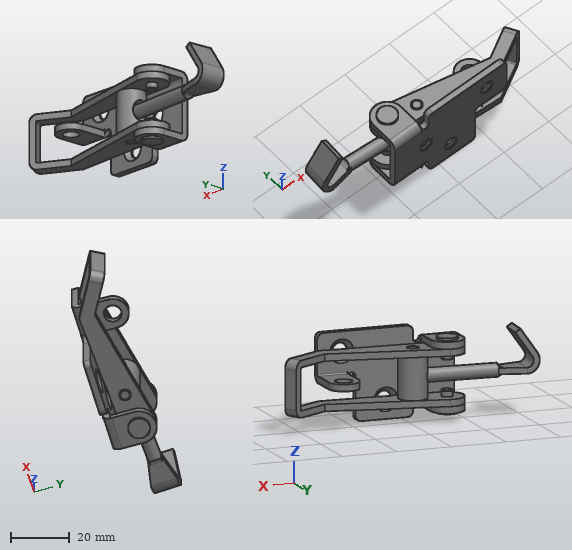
import cadquery as cq
import math


SHEET = 2.5
BEND_RADIUS = 3.0
EXCESS = 9.2

PLATE_HEIGHT = 32.0
PLATE_RIGHT = 44.0
LOWER_RIGHT = 30.0
SHOULDER_X = 9.1
PLATE_CORNER = 2.0
EAR_SPAN = 25.0
EAR_RADIUS = 6.0
PIVOT_Y = 11.0
RELIEF_DEPTH = 0.5
TAB_RADIUS = 5.5
TAB_EYE_Y = 13.0
TAB_HOLE = 6.0
SCREW_HOLE = 5.3
SCREW_SINK = 8.4
SCREW_LAND = 0.6
SCREW_X = 19.0
FAR_SCREW_X = 35.2
SCREW_Z = 9.1
ACCESS_X = 8.1
TAB_X = PLATE_RIGHT - TAB_RADIUS
TAB_OUTER_Z = -SHEET / 2
EAR_OUTER_Z = -EAR_SPAN / 2
EAR_BEND_Z = EAR_SPAN / 2 - BEND_RADIUS
TAB_BEND_Z = TAB_OUTER_Z + BEND_RADIUS

LEVER_SPAN = EAR_SPAN - 2 * SHEET
LEVER_END_RADIUS = EAR_RADIUS
TOP_KINK = (43.7, 8.15)
BOTTOM_KINK = (43.8, 2.7)
GRIP_ANGLE = 29.3
GRIP_CORNER = (59.3, 11.3)

RIVET_HEAD = 7.5
RIVET_HEAD_HEIGHT = 0.8
RIVET_SHANK = 4.0
RIVET_STUB = 2.3
PIN_CHAMFER = 0.4

BARREL_X = 11.9
BARREL_Y = 9.5
BARREL_RADIUS = 5.1
JOURNAL = 4.0
SOCKET_MOUTH_RADIUS = 3.75

HOOK_TILT = 3.2
HOOK_WIDTH = 9.4
HOOK_THICKNESS = 2.2
HOOK_BEND_RADIUS = 4.6
HOOK_BEND_REACH = 39.4
HOOK_LEG_LENGTH = 10.7
HOOK_LEG_ANGLE = 55.0
ROD_RADIUS = 2.5
ROD_REACH = 31.7
STRIP_END_REACH = 29.9
ROD_BLEND_RADIUS = 1.7


def z_cylinder(x, y, diameter, z_start, height):
    """A cylinder along Z."""
    return cq.Workplane("XY", origin=(x, y, z_start)).circle(diameter / 2).extrude(height)


def flange(eye_x, eye_y, eye_radius, outer_z):
    """A wall bent up from the plate, with its outer face on outer_z and a round end."""
    wall_top = eye_y + eye_radius
    bend_z = outer_z + BEND_RADIUS
    centre = (BEND_RADIUS, bend_z)
    diagonal = math.sqrt(0.5)
    inner_radius = BEND_RADIUS - SHEET
    section = (
        cq.Workplane("YZ", origin=(eye_x - eye_radius, 0, 0))
        .moveTo(0, bend_z)
        .threePointArc(
            (centre[0] - BEND_RADIUS * diagonal, centre[1] - BEND_RADIUS * diagonal),
            (BEND_RADIUS, outer_z),
        )
        .lineTo(wall_top, outer_z)
        .lineTo(wall_top, outer_z + SHEET)
        .lineTo(BEND_RADIUS, outer_z + SHEET)
        .threePointArc(
            (centre[0] - inner_radius * diagonal, centre[1] - inner_radius * diagonal),
            (SHEET, bend_z),
        )
        .close()
        .extrude(2 * eye_radius)
    )
    silhouette = (
        cq.Workplane("XY", origin=(0, 0, outer_z))
        .moveTo(eye_x - eye_radius, 0)
        .lineTo(eye_x + eye_radius, 0)
        .lineTo(eye_x + eye_radius, eye_y)
        .threePointArc((eye_x, wall_top), (eye_x - eye_radius, eye_y))
        .close()
        .extrude(BEND_RADIUS)
    )
    return section.intersect(silhouette)


def bend_relief(left, right, bottom_z, side):
    """A slot cut at the end of a bend, with a round bottom at bottom_z; side is the way it opens in Z."""
    radius = (right - left) / 2
    centre_z = bottom_z + side * radius
    mouth_z = centre_z + side * PLATE_HEIGHT
    return (
        cq.Workplane("XZ")
        .moveTo(left, mouth_z)
        .lineTo(left, centre_z)
        .threePointArc((left + radius, bottom_z), (right, centre_z))
        .lineTo(right, mouth_z)
        .close()
        .extrude(-SHEET)
    )


def screw_hole(x, z):
    """A plate hole with a countersink on the inner face."""
    hole_radius = SCREW_HOLE / 2
    profile = [
        (0, 0),
        (hole_radius, 0),
        (hole_radius, SCREW_LAND),
        (SCREW_SINK / 2, SHEET),
        (0, SHEET),
    ]
    hole = cq.Workplane("XY").polyline(profile).close().revolve(360, (0, 0), (0, 1))
    return hole.translate((x, 0, z))


def make_plate():
    """The flat plate with rounded corners, bend reliefs and screw holes."""
    half = PLATE_HEIGHT / 2
    ear_relief_z = EAR_BEND_Z + RELIEF_DEPTH
    ear_relief_side_z = ear_relief_z + (SHOULDER_X - EAR_RADIUS) / 2
    tab_left = TAB_X - TAB_RADIUS
    tab_relief_z = TAB_BEND_Z - RELIEF_DEPTH
    tab_relief_side_z = tab_relief_z - (tab_left - LOWER_RIGHT) / 2
    outline = [
        (-EAR_RADIUS, -EAR_BEND_Z),
        (EAR_RADIUS, -EAR_BEND_Z),
        (EAR_RADIUS, -ear_relief_side_z),
        (SHOULDER_X, -ear_relief_side_z),
        (SHOULDER_X, -half),
        (LOWER_RIGHT, -half),
        (LOWER_RIGHT, tab_relief_side_z),
        (tab_left, tab_relief_side_z),
        (tab_left, TAB_BEND_Z),
        (PLATE_RIGHT, TAB_BEND_Z),
        (PLATE_RIGHT, half),
        (SHOULDER_X, half),
        (SHOULDER_X, ear_relief_side_z),
        (EAR_RADIUS, ear_relief_side_z),
        (EAR_RADIUS, EAR_BEND_Z),
        (-EAR_RADIUS, EAR_BEND_Z),
    ]
    plate = cq.Workplane("XZ").polyline(outline).close().extrude(-SHEET)

    for x, z in [(SHOULDER_X, half), (SHOULDER_X, -half), (LOWER_RIGHT, -half), (PLATE_RIGHT, half)]:
        plate = plate.edges(cq.NearestToPointSelector((x, SHEET / 2, z))).fillet(PLATE_CORNER)
    for side in (1, -1):
        plate = plate.cut(bend_relief(EAR_RADIUS, SHOULDER_X, side * ear_relief_z, side))
    plate = plate.cut(bend_relief(LOWER_RIGHT, tab_left, tab_relief_z, -1))
    for x, z in [(ACCESS_X, 0), (SCREW_X, -SCREW_Z), (FAR_SCREW_X, SCREW_Z)]:
        plate = plate.cut(screw_hole(x, z))
    return plate


def make_bracket():
    """The bent bracket: plate, two ears around the pivot and the tab with an eye."""
    ear = flange(0, PIVOT_Y, EAR_RADIUS, EAR_OUTER_Z)
    ear = ear.cut(z_cylinder(0, PIVOT_Y, RIVET_SHANK, EAR_OUTER_Z, SHEET))
    tab = flange(TAB_X, TAB_EYE_Y, TAB_RADIUS, TAB_OUTER_Z)
    tab = tab.cut(z_cylinder(TAB_X, TAB_EYE_Y, TAB_HOLE, TAB_OUTER_Z, SHEET))
    return make_plate().union(ear).union(ear.mirror("XY")).union(tab)


def pivot_tangent(point, side):
    """Where the line from a point touches the round lever end; side is 1 above, -1 below."""
    dx = point[0]
    dy = point[1] - PIVOT_Y
    bearing = math.atan2(dy, dx) + side * math.acos(LEVER_END_RADIUS / math.hypot(dx, dy))
    return (LEVER_END_RADIUS * math.cos(bearing), PIVOT_Y + LEVER_END_RADIUS * math.sin(bearing))


def make_lever():
    """The U-shaped lever: two arms joined by a web across the raised grip."""
    grip = math.radians(GRIP_ANGLE)
    along = (math.cos(grip), math.sin(grip))
    across = (-math.sin(grip), math.cos(grip))
    depth = (TOP_KINK[0] - GRIP_CORNER[0]) * across[0] + (TOP_KINK[1] - GRIP_CORNER[1]) * across[1]
    upper_corner = (GRIP_CORNER[0] + depth * across[0], GRIP_CORNER[1] + depth * across[1])
    half_span = LEVER_SPAN / 2

    blank = (
        cq.Workplane("XY", origin=(0, 0, -half_span))
        .moveTo(*pivot_tangent(BOTTOM_KINK, -1))
        .lineTo(*BOTTOM_KINK)
        .lineTo(*GRIP_CORNER)
        .lineTo(*upper_corner)
        .lineTo(*TOP_KINK)
        .lineTo(*pivot_tangent(TOP_KINK, 1))
        .threePointArc((-LEVER_END_RADIUS, PIVOT_Y), pivot_tangent(BOTTOM_KINK, -1))
        .close()
        .extrude(LEVER_SPAN)
    )
    end_middle = ((GRIP_CORNER[0] + upper_corner[0]) / 2, (GRIP_CORNER[1] + upper_corner[1]) / 2)
    for z in (half_span, -half_span):
        corner = cq.NearestToPointSelector((*end_middle, z))
        blank = blank.edges(corner).fillet(BEND_RADIUS)

    channel_length = GRIP_CORNER[0] + LEVER_END_RADIUS + EXCESS
    channel_end = channel_length / 2 + SHEET
    channel = (
        cq.Workplane("XY")
        .box(channel_length, 2 * channel_length, LEVER_SPAN - 2 * SHEET)
        .edges(">X and |Y")
        .fillet(BEND_RADIUS - SHEET)
        .rotate((0, 0, 0), (0, 0, 1), GRIP_ANGLE)
        .translate((end_middle[0] - channel_end * along[0], end_middle[1] - channel_end * along[1], 0))
    )
    pivot_hole = z_cylinder(0, PIVOT_Y, RIVET_SHANK, -half_span, LEVER_SPAN)
    journal_hole = z_cylinder(BARREL_X, BARREL_Y, JOURNAL, -half_span, LEVER_SPAN)
    return blank.cut(channel).cut(pivot_hole).cut(journal_hole)


def make_rivet(side):
    """A pivot rivet through one ear and one lever arm; side is 1 at the top, -1 at the bottom."""
    ear_face = EAR_SPAN / 2
    shank_length = 2 * SHEET + RIVET_STUB
    shank = z_cylinder(0, PIVOT_Y, RIVET_SHANK, ear_face - shank_length, shank_length)
    shank = shank.faces("<Z").chamfer(PIN_CHAMFER)
    rivet = shank.union(z_cylinder(0, PIVOT_Y, RIVET_HEAD, ear_face, RIVET_HEAD_HEIGHT))
    return rivet if side > 0 else rivet.mirror("XY")


def place_on_barrel(part):
    """Tilt a part drawn along X from the origin and move it to the barrel axis."""
    return part.rotate((0, 0, 0), (0, 0, 1), -HOOK_TILT).translate((BARREL_X, BARREL_Y, 0))


def make_hook():
    """The hook: a rod that flattens into a strip bent back on itself."""
    half_thickness = HOOK_THICKNESS / 2
    inner_radius = HOOK_BEND_RADIUS - HOOK_THICKNESS
    bend_x = -HOOK_BEND_REACH
    bend_z = HOOK_BEND_RADIUS - half_thickness
    leg = math.radians(HOOK_LEG_ANGLE)
    leg_run = (HOOK_LEG_LENGTH * math.cos(leg), HOOK_LEG_LENGTH * math.sin(leg))

    def on_bend(radius, angle):
        return (bend_x + radius * math.cos(angle), bend_z + radius * math.sin(angle))

    bend_stop = leg + math.pi / 2
    outer_leg = on_bend(HOOK_BEND_RADIUS, bend_stop)
    inner_leg = on_bend(inner_radius, bend_stop)
    strip = (
        cq.Workplane("XZ")
        .moveTo(-STRIP_END_REACH, -half_thickness)
        .lineTo(bend_x, -half_thickness)
        .threePointArc(on_bend(HOOK_BEND_RADIUS, math.pi), outer_leg)
        .lineTo(outer_leg[0] + leg_run[0], outer_leg[1] + leg_run[1])
        .lineTo(inner_leg[0] + leg_run[0], inner_leg[1] + leg_run[1])
        .lineTo(*inner_leg)
        .threePointArc(on_bend(inner_radius, math.pi), (bend_x, half_thickness))
        .lineTo(-STRIP_END_REACH, half_thickness)
        .close()
        .extrude(HOOK_WIDTH / 2, both=True)
    )
    for side in (1, -1):
        taper = (
            cq.Workplane("XY", origin=(0, 0, -half_thickness))
            .moveTo(bend_x, side * HOOK_WIDTH / 2)
            .lineTo(-STRIP_END_REACH, side * ROD_RADIUS)
            .lineTo(-STRIP_END_REACH, side * HOOK_WIDTH / 2)
            .close()
            .extrude(HOOK_THICKNESS)
        )
        strip = strip.cut(taper)

    rod = cq.Workplane("YZ", origin=(-ROD_REACH, 0, 0)).circle(ROD_RADIUS).extrude(ROD_REACH)
    for side in (1, -1):
        hollow = (
            cq.Workplane("XZ")
            .center(-ROD_REACH, side * (half_thickness + ROD_BLEND_RADIUS))
            .circle(ROD_BLEND_RADIUS)
            .extrude(HOOK_WIDTH, both=True)
        )
        rod = rod.cut(hollow)

    return place_on_barrel(strip.union(rod))


def make_barrel(hook):
    """The barrel between the lever arms, with a journal in each arm and a socket for the hook rod."""
    body_length = LEVER_SPAN - 2 * SHEET
    body = z_cylinder(BARREL_X, BARREL_Y, 2 * BARREL_RADIUS, -body_length / 2, body_length)
    journals = z_cylinder(BARREL_X, BARREL_Y, JOURNAL, -LEVER_SPAN / 2, LEVER_SPAN)
    journals = journals.faces("<Z or >Z").chamfer(PIN_CHAMFER)
    mouth = (
        cq.Workplane("XY")
        .moveTo(-BARREL_RADIUS, 0)
        .lineTo(-BARREL_RADIUS, SOCKET_MOUTH_RADIUS)
        .lineTo(SOCKET_MOUTH_RADIUS - BARREL_RADIUS, 0)
        .close()
        .revolve(360, (0, 0), (1, 0))
    )
    return body.union(journals).cut(place_on_barrel(mouth)).cut(hook)


bracket = make_bracket()
lever = make_lever()
rivets = [make_rivet(side) for side in (1, -1)]
hook = make_hook()
barrel = make_barrel(hook)

bodies = [bracket, lever, hook, barrel, *rivets]
result = cq.Compound.makeCompound([body.solids().val() for body in bodies])